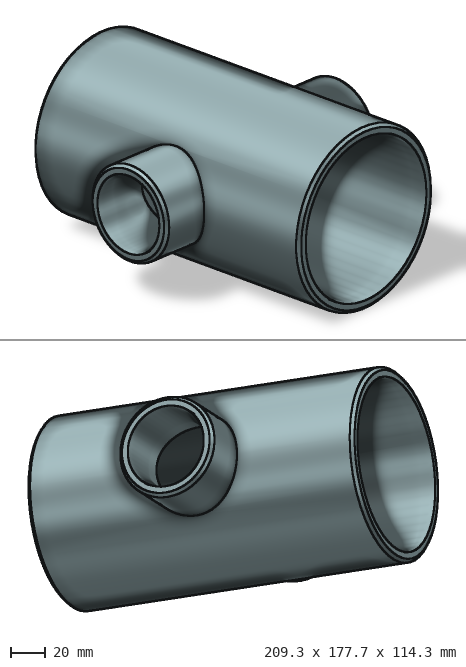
import cadquery as cq

run_length = 209.3
run_diameter = 114.3
run_bore = 102.3

branch_span = 177.7
branch_diameter = 60.5
branch_bore = 48.8

end_bevel = 2.0


def bar(plane, diameter, length):
    """Solid cylinder centred on the origin, along the normal of the plane."""
    return cq.Workplane(plane).circle(diameter / 2).extrude(length / 2, both=True)


def bevelled_bar(plane, axis, diameter, length):
    """Cylinder with both end edges bevelled."""
    end_faces = f"<{axis} or >{axis}"
    return bar(plane, diameter, length).faces(end_faces).edges().chamfer(end_bevel)


body = bevelled_bar("YZ", "X", run_diameter, run_length).union(
    bevelled_bar("XZ", "Y", branch_diameter, branch_span)
)

result = body.cut(bar("YZ", run_bore, run_length)).cut(bar("XZ", branch_bore, branch_span))